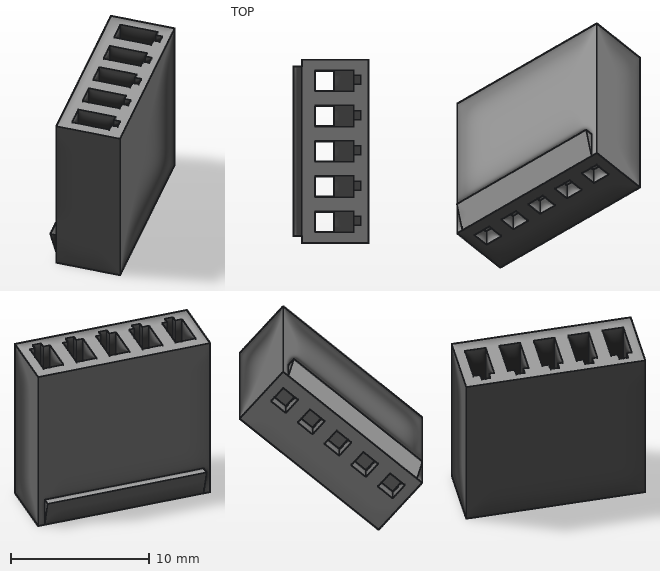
import cadquery as cq

length = 13.26
height = 12.7
overall_depth = 5.44
ridge_reach = 0.61
body_depth = overall_depth - ridge_reach

ridge_length = 12.25
ridge_height = 2.15

cavity_count = 5
cavity_pitch = 2.55
cavity_inset = 0.95
cavity_depth = 2.81
cavity_width = 1.54
cavity_floor = 1.33

opening_depth = 1.35
opening_width = 1.4

key_depth = 0.48
key_width = 0.64
key_offset = 0.07
key_floor = height / 2


def extruded_outline(points, y_center, width):
    """Solid from an XZ outline, spread evenly to both sides of y_center."""
    return (
        cq.Workplane("XZ", origin=(0, y_center, 0))
        .polyline(points)
        .close()
        .extrude(width / 2, both=True)
    )


def block(x_start, x_size, y_center, y_size, z_start, z_end):
    """Box given by its low X side, its Y center and its Z range."""
    return cq.Workplane("XY", origin=(x_start, y_center, z_start)).box(
        x_size, y_size, z_end - z_start, centered=(False, True, False)
    )


def latch_ridge():
    """Ridge with a flat top shelf that tapers down to the bottom edge of the body."""
    outline = [(0, 0), (0, ridge_height), (-ridge_reach, ridge_height)]
    return extruded_outline(outline, 0, ridge_length)


def key_slot(y_center):
    """Narrow slot whose floor slopes down into the cavity."""
    x_inner = cavity_inset + cavity_depth
    x_outer = x_inner + key_depth
    outline = [
        (x_inner, height),
        (x_inner, key_floor),
        (x_outer, key_floor + key_depth),
        (x_outer, height),
    ]
    return extruded_outline(outline, y_center + key_offset, key_width)


def contact_cavity(y_center):
    """Cavity, the opening in its floor and its key slot as one cutting solid."""
    cavity = block(cavity_inset, cavity_depth, y_center, cavity_width, cavity_floor, height)
    opening = block(cavity_inset, opening_depth, y_center, opening_width, 0, cavity_floor)
    return cavity.union(opening).union(key_slot(y_center))


result = block(0, body_depth, 0, length, 0, height).union(latch_ridge())
for index in range(cavity_count):
    y_cavity = (index - (cavity_count - 1) / 2) * cavity_pitch
    result = result.cut(contact_cavity(y_cavity))